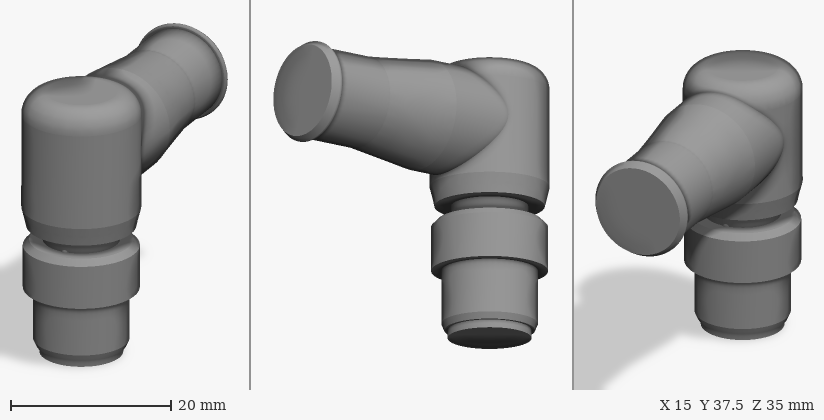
import cadquery as cq

overall_length = 37.5

tip_radius = 5.25
tip_height = 1.0
spigot_bevel_radius = 5.65
spigot_bevel_top = 1.85
spigot_radius = 6.05
collar_bottom = 8.65
collar_radius = 7.3
collar_chamfer = 0.8
collar_top = 15.1
neck_radius = 4.85
body_bottom = 17.02
body_bottom_radius = 6.9
body_taper_top = 19.5
body_radius = 7.5
body_top = 35.0
body_top_fillet = 3.0

arm_height = 27.0
arm_root_radius = 7.0
arm_taper_start = 10.95
arm_taper_end = 20.65
arm_hose_radius = 5.8
bead_start = 28.58
bead_crest = 29.05
bead_radius = 6.38
bead_back_radius = 6.15
bead_rounding = 0.45
arm_end = overall_length - body_radius

nub_radius = 0.52
nub_offset = 4.6
nub_depth = 0.2


def make_stem():
    """Turned plug, collar, neck and domed body around the Z axis."""
    outline = (
        cq.Workplane("XZ")
        .moveTo(0, 0)
        .lineTo(tip_radius, 0)
        .lineTo(tip_radius, tip_height)
        .lineTo(spigot_bevel_radius, tip_height)
        .lineTo(spigot_radius, spigot_bevel_top)
        .lineTo(spigot_radius, collar_bottom)
        .lineTo(collar_radius, collar_bottom)
        .lineTo(collar_radius, collar_top - collar_chamfer)
        .lineTo(collar_radius - collar_chamfer, collar_top)
        .lineTo(neck_radius, collar_top)
        .lineTo(neck_radius, body_bottom)
        .lineTo(body_bottom_radius, body_bottom)
        .lineTo(body_radius, body_taper_top)
        .lineTo(body_radius, body_top - body_top_fillet)
        .radiusArc((body_radius - body_top_fillet, body_top), -body_top_fillet)
        .lineTo(0, body_top)
        .close()
    )
    return outline.revolve(360, (0, 0, 0), (0, 1, 0))


def make_arm():
    """Tapered hose arm with a retaining bead near its free end."""
    outline = (
        cq.Workplane("XY", origin=(0, 0, arm_height))
        .moveTo(0, 0)
        .lineTo(arm_root_radius, 0)
        .lineTo(arm_root_radius, arm_taper_start)
        .lineTo(arm_hose_radius, arm_taper_end)
        .lineTo(arm_hose_radius, bead_start)
        .lineTo(bead_back_radius, bead_start)
        .radiusArc((bead_radius, bead_crest), -bead_rounding)
        .lineTo(arm_hose_radius, arm_end)
        .lineTo(0, arm_end)
        .close()
    )
    return outline.revolve(360, (0, 0, 0), (0, 1, 0))


def make_nub(side):
    """Ball sunk past its centre into the collar top and the neck wall."""
    center = (0, side * nub_offset, collar_top - nub_depth)
    return cq.Workplane("XY", origin=center).sphere(nub_radius)


result = make_stem().union(make_arm())
for side in (-1, 1):
    result = result.union(make_nub(side))